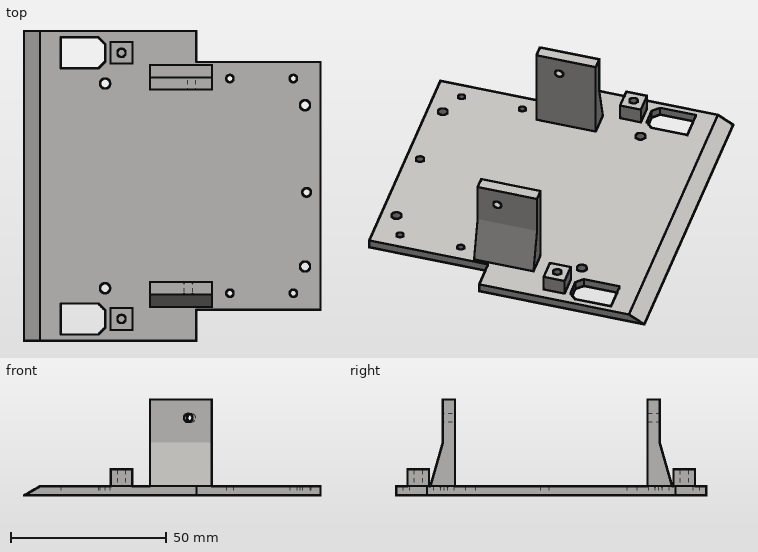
import cadquery as cq
import math

plate_length = 95.62
plate_width = 100.0
plate_thickness = 3.0
bevel_angle = 30.0
bevel_length = plate_thickness / math.tan(math.radians(bevel_angle))
tongue_length = 40.0
tongue_width = 80.0

window_start_x = 11.9
window_length = 14.3
window_width = 9.9
window_chamfer = 2.2
side_feature_y = 42.9

post_size = 7.0
post_height = 5.5
post_x = 31.45

bracket_start_x = 40.62
bracket_length = 20.0
bracket_inner_y = 31.0
bracket_thickness = 4.0
bracket_foot_thickness = 8.0
bracket_foot_height = 14.0
bracket_height = 28.0
bracket_hole_height = 22.0
near_bracket_hole_x = 52.95
far_bracket_hole_x = 54.0

small_hole = 2.3
medium_hole = 2.7
large_hole = 3.2

paired_holes = [
    (26.15, 33.0, large_hole),
    (66.4, 34.6, small_hole),
    (86.85, 34.6, small_hole),
    (90.62, 26.0, large_hole),
]
rear_hole_x = 91.12
rear_hole_y = -2.1


def make_plate():
    """Stepped plate with a bevelled front edge."""
    side_profile = [
        (0, 0),
        (plate_length, 0),
        (plate_length, plate_thickness),
        (bevel_length, plate_thickness),
    ]
    plate = (
        cq.Workplane("XZ")
        .polyline(side_profile)
        .close()
        .extrude(plate_width / 2, both=True)
    )
    step_width = (plate_width - tongue_width) / 2
    for side in (-1, 1):
        corner = (
            cq.Workplane("XY")
            .center(plate_length - tongue_length / 2, side * (tongue_width + step_width) / 2)
            .rect(tongue_length, step_width)
            .extrude(plate_thickness)
        )
        plate = plate.cut(corner)
    return plate


def make_window(side):
    """Cutter for a rectangular window with its two rear corners chamfered."""
    return (
        cq.Workplane("XY")
        .center(window_start_x + window_length / 2, side * side_feature_y)
        .rect(window_length, window_width)
        .extrude(plate_thickness)
        .edges("|Z and >X")
        .chamfer(window_chamfer)
    )


def make_post(side):
    """Square post with a central pilot hole."""
    return (
        cq.Workplane("XY", origin=(post_x, side * side_feature_y, plate_thickness))
        .rect(post_size, post_size)
        .circle(medium_hole / 2)
        .extrude(post_height)
    )


def make_bracket(side, hole_x):
    """Upright bracket, thickened at the foot on its outer side, with a cross hole."""
    foot_y = bracket_inner_y + bracket_foot_thickness
    wall_y = bracket_inner_y + bracket_thickness
    bend_z = plate_thickness + bracket_foot_height
    top_z = plate_thickness + bracket_height
    profile = [
        (side * bracket_inner_y, plate_thickness),
        (side * foot_y, plate_thickness),
        (side * wall_y, bend_z),
        (side * wall_y, top_z),
        (side * bracket_inner_y, top_z),
    ]
    bracket = (
        cq.Workplane("YZ", origin=(bracket_start_x, 0, 0))
        .polyline(profile)
        .close()
        .extrude(bracket_length)
    )
    wall_middle_y = side * (bracket_inner_y + wall_y) / 2
    cross_hole = (
        cq.Workplane("XZ", origin=(hole_x, wall_middle_y, plate_thickness + bracket_hole_height))
        .circle(medium_hole / 2)
        .extrude(bracket_thickness, both=True)
    )
    return bracket.cut(cross_hole)


def make_plate_hole(x, y, diameter):
    """Cutter for a round hole through the plate."""
    return cq.Workplane("XY").center(x, y).circle(diameter / 2).extrude(plate_thickness)


result = make_plate()
for side, bracket_hole_x in ((-1, near_bracket_hole_x), (1, far_bracket_hole_x)):
    result = result.cut(make_window(side))
    for hole_x, hole_offset, hole_diameter in paired_holes:
        result = result.cut(make_plate_hole(hole_x, side * hole_offset, hole_diameter))
    result = result.union(make_post(side))
    result = result.union(make_bracket(side, bracket_hole_x))
result = result.cut(make_plate_hole(rear_hole_x, rear_hole_y, medium_hole))